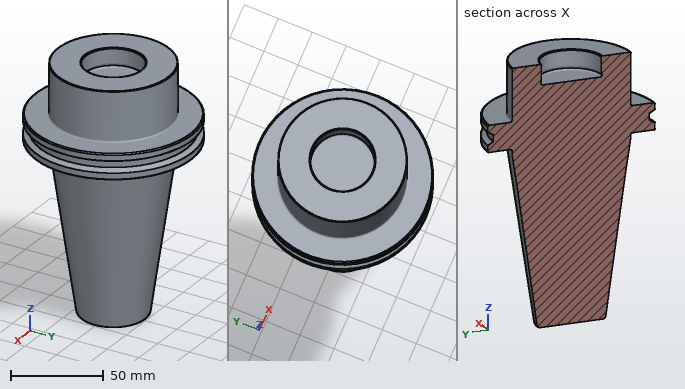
import cadquery as cq
import math

total_height = 151.6
taper_length = 101.5
neck_length = 3.2
flange_thickness = 15.9
flange_bottom = taper_length + neck_length
flange_top = flange_bottom + flange_thickness

gauge_radius = 69.9 / 2
diameter_per_length = 7 / 24
tip_fillet = 2.1

flange_radius = 98.4 / 2
flange_top_chamfer = 0.8
flange_bottom_chamfer = 0.6
groove_center_depth = 7.9
groove_depth = 3.2
groove_floor_width = 3.8
groove_side_angle = 30.0
groove_center = flange_top - groove_center_depth

nose_radius = 70.0 / 2
nose_chamfer = 0.5
root_fillet = 0.9

bore_radius = 17.5
bore_depth = 12.0
bore_chamfer = 0.6
relief_start_depth = 9.4
relief_end_depth = 10.9
relief_radius = 17.9
bore_floor = total_height - bore_depth
relief_fillet = bore_depth - relief_end_depth


def circle_edges(body, radius, height):
    """Select the circular edge of the given radius centred on the axis at the given height."""
    margin = 0.02
    outer = radius + margin
    inner = radius - margin
    edges = body.edges(cq.selectors.BoxSelector(
        (-outer, -outer, height - margin), (outer, outer, height + margin), boundingbox=True))
    return edges.filter(lambda edge: edge.BoundingBox().xmax > inner)


def turned_body():
    """Shank, flange and nose revolved from one half profile with sharp corners."""
    tip_radius = gauge_radius - diameter_per_length * taper_length / 2
    groove_floor_radius = flange_radius - groove_depth
    floor_half = groove_floor_width / 2
    mouth_half = floor_half + groove_depth * math.tan(math.radians(groove_side_angle))
    half_profile = (
        cq.Workplane("XZ")
        .lineTo(tip_radius, 0)
        .lineTo(gauge_radius, taper_length)
        .lineTo(gauge_radius, flange_bottom)
        .lineTo(flange_radius, flange_bottom)
        .lineTo(flange_radius, groove_center - mouth_half)
        .lineTo(groove_floor_radius, groove_center - floor_half)
        .lineTo(groove_floor_radius, groove_center + floor_half)
        .lineTo(flange_radius, groove_center + mouth_half)
        .lineTo(flange_radius, flange_top)
        .lineTo(nose_radius, flange_top)
        .lineTo(nose_radius, total_height)
        .lineTo(0, total_height)
        .close()
    )
    body = half_profile.revolve(360, (0, 0, 0), (0, 1, 0))
    body = circle_edges(body, tip_radius, 0).fillet(tip_fillet)
    body = circle_edges(body, gauge_radius, flange_bottom).fillet(root_fillet)
    body = circle_edges(body, nose_radius, flange_top).fillet(root_fillet)
    body = circle_edges(body, flange_radius, flange_bottom).chamfer(flange_bottom_chamfer)
    body = circle_edges(body, flange_radius, flange_top).chamfer(flange_top_chamfer)
    return circle_edges(body, nose_radius, total_height).chamfer(nose_chamfer)


def bore():
    """Solid to remove: chamfered mouth, straight wall, flared relief and rounded floor corner."""
    mid_arc = relief_fillet * math.sqrt(0.5)
    arc_center_radius = relief_radius - relief_fillet
    relief_end = total_height - relief_end_depth
    half_profile = (
        cq.Workplane("XZ")
        .moveTo(0, bore_floor)
        .lineTo(arc_center_radius, bore_floor)
        .threePointArc(
            (arc_center_radius + mid_arc, relief_end - mid_arc),
            (relief_radius, relief_end),
        )
        .lineTo(bore_radius, total_height - relief_start_depth)
        .lineTo(bore_radius, total_height - bore_chamfer)
        .lineTo(bore_radius + bore_chamfer, total_height)
        .lineTo(0, total_height)
        .close()
    )
    return half_profile.revolve(360, (0, 0, 0), (0, 1, 0))


result = turned_body().cut(bore())